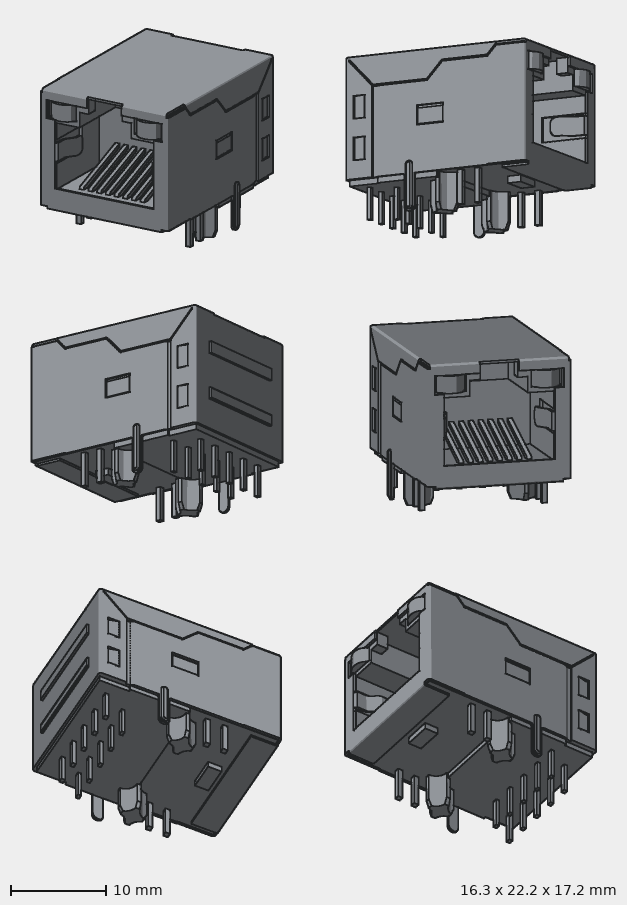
import cadquery as cq
import math


shield_width = 15.76
shield_length = 21.45
shield_height = 13.16
sheet = 0.27
bend_radius = 0.3
half_width = shield_width / 2
inner_half_width = half_width - sheet
inner_top = shield_height - sheet
inner_rear = shield_length - sheet

tuck_depth = sheet
cover_edge = 18.23
tuck_run = 1.09
tuck_start = cover_edge - tuck_run
tuck_middle = cover_edge - tuck_run / 2
tucked_half_width = half_width - tuck_depth
rear_inner_half_width = inner_half_width - tuck_depth

port_half_width = 6.08
port_floor = 2.25
lamp_window_half_width = 7.08
lamp_window_bottom = 9.92
lamp_window_top = 11.97
latch_half_width = 2.13

seam_width = 0.15
seam_low = 9.77
seam_mid = 11.65
seam_high = inner_top - seam_width
roof_step_length = 3.49
seam_path = [
    (20.98, 12.65),
    (18.18, seam_low),
    (11.68, seam_low),
    (9.88, seam_mid),
    (4.5, seam_mid),
    (roof_step_length, seam_high),
]

catch_start = 19.07
catch_end = 20.45
catch_height = 2.45
catch_bottoms = [2.02, 6.48]
catch_flat = 0.33
catch_rise = 0.25
catch_gap = 0.07
latch_window_start = 9.77
latch_window_end = 12.92
latch_window_bottom = 5.1
latch_window_top = 7.2
latch_gap = 0.09
latch_bevel = 0.3
latch_sink = 0.07

notch_half_width = 4.5
notch_length = 0.62
notch_radius = 0.3
bar_half_width = 5.4
bar_depth = 0.25
bar_height = 1.29
upper_bar_bottom = 8.37
lower_bar_bottom = 3.29
bar_bevel = 0.1

flange_half_width = 7.0
flange_length = 3.2
flange_drop = 0.25
spring_bottom = 5.28
spring_top = 7.33
spring_flat_x = 5.77
spring_bend_y = 1.6
spring_crest_x = 4.97
spring_crest_y = 2.66
spring_rear = 3.88
spring_thickness = 0.2
spring_bend_radius = 0.67
spring_end_radius = 0.67
pin_tip = -4.05
foot_relief_length = 4.48
foot_relief_height = 0.09
leg_y = 13.8
leg_width = 1.2
leg_tip_radius = 0.58
leg_root_radius = 0.18
bead_width = 0.8
bead_top = 1.33
bead_bottom = -3.82
bead_rise = 0.25
bead_bevel = 0.18

cavity_half_width = 6.0
cavity_top = 9.52
cavity_floor = 2.09
cavity_rear = 8.88
keyway_rear = 7.55
keyway_half_width = 3.17
keyway_lip_half_width = 2.06
keyway_lip_bottom = 11.23
keyway_lip_rear = 1.58
spring_pocket_depth = 0.33
spring_pocket_rear = 5.45
spring_pocket_margin = 0.3
base_front = 10.68
base_drop = 0.62
pad_half_width = 1.53
pad_front = 3.9
pad_length = 1.58
pad_drop = 0.73

lamp_x = 5.22
lamp_width = 3.3
lamp_bottom = 10.1
lamp_nose = 0.5
lamp_rear = 3.1
lead_x = 6.7
lead_size = 0.55
lead_tip = -3.69
lead_rows = [6.22, 8.25]

contact_count = 8
contact_pitch = 1.07
contact_width = 0.5
contact_tip_y = 1.6
contact_nose = 0.35
contact_thickness = 0.35
contact_rear_top = 5.0
pin_columns = 10
pin_pitch = 1.27
pin_width = 0.53
front_pin_y = 17.07
front_pin_length = 0.38
rear_pin_y = 19.62
rear_pin_length = 0.42
peg_x = 5.68
peg_y = 10.75
peg_diameter = 3.17
peg_rib = 0.45
peg_taper_height = 0.78
peg_taper = 0.3


def block(x0, x1, y0, y1, z0, z1):
    """Box between two opposite corners."""
    return cq.Workplane("XY").box(x1 - x0, y1 - y0, z1 - z0, centered=False).translate((x0, y0, z0))


def centred_block(half_x, y0, y1, z0, z1):
    """Box that is symmetric about the mid plane."""
    return block(-half_x, half_x, y0, y1, z0, z1)


def both_sides(body):
    """The body on the +X side together with its mirror image."""
    return body.union(body.mirror("YZ"))


def wall_cutter(profile):
    """Cutter with a (y, z) profile that runs through both side walls."""
    return cq.Workplane("YZ").polyline(profile).close().extrude(shield_width, both=True)


def interior(bottom):
    """Space inside the shield, narrower where the side walls are doubled."""
    front = centred_block(inner_half_width, sheet, tuck_middle, bottom, inner_top)
    rear = centred_block(rear_inner_half_width, tuck_middle, inner_rear, bottom, inner_top)
    return front.union(rear)


def tuck_groove():
    """Groove in the +X wall, below the seam, where the side wall bends in under the rear cover."""
    half_run = tuck_run / 2
    half_step = tuck_depth / 2
    radius = (half_run**2 + half_step**2) / (2 * half_step)
    sag = radius - math.sqrt(radius**2 - (half_run / 2) ** 2)
    return (
        cq.Workplane("XY")
        .moveTo(half_width, tuck_start)
        .threePointArc(
            (half_width - sag, tuck_start + half_run / 2),
            (half_width - half_step, tuck_middle),
        )
        .threePointArc(
            (tucked_half_width + sag, cover_edge - half_run / 2),
            (tucked_half_width, cover_edge),
        )
        .lineTo(half_width, cover_edge)
        .close()
        .extrude(seam_low)
    )


def seam():
    """Narrow slot that separates the roof flap from each side wall."""
    upper_edge = [(y, z + seam_width) for y, z in reversed(seam_path)]
    slot = wall_cutter(seam_path + upper_edge)
    return slot.cut(centred_block(inner_half_width, 0, shield_length, 0, shield_height))


def roof_edge_step():
    """Corner removed above the +X wall at the front, where the roof edge is not bent down."""
    return block(inner_half_width, half_width, 0, roof_step_length, seam_high, shield_height)


def front_opening():
    """Port, lamp windows and latch slot in the front wall."""
    port = centred_block(port_half_width, 0, sheet, port_floor, lamp_window_top)
    lamps = centred_block(lamp_window_half_width, 0, sheet, lamp_window_bottom, lamp_window_top)
    latch = centred_block(latch_half_width, 0, sheet, port_floor, shield_height)
    return port.union(lamps).union(latch)


def roof_notch():
    """Round-cornered notch in the rear edge of the roof."""
    notch = centred_block(
        notch_half_width, shield_length - notch_length, shield_length, inner_top, shield_height
    )
    return notch.edges("|Z and <Y").fillet(notch_radius)


def rear_bars():
    """Two raised bars on the rear wall, the lower one bevelled."""
    rear_face = shield_length + bar_depth
    upper = centred_block(
        bar_half_width, inner_rear, rear_face, upper_bar_bottom, upper_bar_bottom + bar_height
    )
    lower = centred_block(
        bar_half_width, inner_rear, rear_face, lower_bar_bottom, lower_bar_bottom + bar_height
    )
    lower = lower.faces(">Y").edges("|X").chamfer(bar_bevel)
    return upper.union(lower)


def ground_leg():
    """Solder leg on the +X wall with a raised stiffening bead."""
    half_leg = leg_width / 2
    leg = block(
        inner_half_width, half_width, leg_y - half_leg, leg_y + half_leg, pin_tip, bead_top
    )
    leg = leg.edges("|X and <Z").fillet(leg_tip_radius)
    roots = block(
        inner_half_width,
        half_width,
        leg_y - half_leg - leg_root_radius,
        leg_y + half_leg + leg_root_radius,
        -leg_root_radius,
        0,
    )
    for side in (-1, 1):
        root_edge = leg_y + side * (half_leg + leg_root_radius)
        round_cut = (
            cq.Workplane("YZ", origin=(inner_half_width, root_edge, -leg_root_radius))
            .circle(leg_root_radius)
            .extrude(sheet)
        )
        roots = roots.cut(round_cut)
    bead = (
        cq.Workplane("YZ", origin=(half_width, leg_y, (bead_top + bead_bottom) / 2))
        .slot2D(bead_top - bead_bottom, bead_width, 90)
        .extrude(bead_rise)
        .faces(">X")
        .chamfer(bead_bevel)
    )
    return leg.union(roots).union(bead)


def side_spring():
    """Contact spring that folds in from the front opening and bulges into the port."""
    fold_sag = (port_half_width - spring_flat_x) * (1 - math.sqrt(0.5))
    fold = (port_half_width - fold_sag, fold_sag)
    spring = (
        cq.Workplane("XY", origin=(0, 0, spring_bottom))
        .moveTo(port_half_width, 0)
        .threePointArc(fold, (spring_flat_x, sheet))
        .lineTo(spring_flat_x, spring_bend_y)
        .lineTo(spring_crest_x, spring_crest_y)
        .lineTo(spring_crest_x, spring_rear)
        .lineTo(spring_crest_x + spring_thickness, spring_rear)
        .lineTo(spring_crest_x + spring_thickness, spring_crest_y)
        .lineTo(spring_flat_x + spring_thickness, spring_bend_y)
        .lineTo(port_half_width, sheet)
        .close()
        .extrude(spring_top - spring_bottom)
    )
    bends = cq.selectors.BoxSelector(
        (0, spring_bend_y - spring_thickness, spring_bottom),
        (half_width, spring_crest_y + spring_thickness, spring_top),
    )
    spring = spring.edges(bends).edges("|Z").fillet(spring_bend_radius)
    spring = spring.faces(">Y").edges("|X").fillet(spring_end_radius)
    root = block(
        port_half_width, port_half_width + sheet, 0, sheet, spring_bottom, spring_top
    )
    return spring.union(root)


def front_flange():
    """Sheet folded under the housing at the front, with a rounded bend."""
    flange = centred_block(flange_half_width, 0, flange_length, -flange_drop, 0)
    wall_foot = centred_block(flange_half_width, 0, sheet, -flange_drop, sheet)
    return flange.union(wall_foot).edges("|X and <Y and <Z").fillet(flange_drop)


def catch_window(bottom):
    """Window in the rear cover on the +X side, with a catch behind it that slopes out to the front."""
    ramp_start = catch_start + catch_gap
    return (
        cq.Workplane("XY", origin=(0, 0, bottom))
        .moveTo(half_width, catch_start)
        .lineTo(tucked_half_width, catch_start)
        .lineTo(tucked_half_width, ramp_start)
        .lineTo(tucked_half_width + catch_rise, ramp_start)
        .lineTo(tucked_half_width, catch_end - catch_flat)
        .lineTo(tucked_half_width, catch_end)
        .lineTo(half_width, catch_end)
        .close()
        .extrude(catch_height)
    )


def make_shield():
    """Folded shield with its openings, springs, bars and ground legs."""
    shell = block(-half_width, half_width, 0, shield_length, 0, shield_height)
    shell = shell.edges("|Z or >Z").fillet(bend_radius)
    shell = shell.cut(interior(0))
    shell = shell.cut(both_sides(tuck_groove()))
    shell = shell.cut(seam()).cut(both_sides(roof_edge_step()))
    shell = shell.cut(front_opening()).cut(roof_notch())
    for bottom in catch_bottoms:
        shell = shell.cut(both_sides(catch_window(bottom)))
    shell = shell.cut(
        centred_block(
            half_width,
            latch_window_start,
            latch_window_end,
            latch_window_bottom,
            latch_window_top,
        )
    )
    shell = shell.cut(
        centred_block(half_width, 0, foot_relief_length, 0, foot_relief_height)
    )
    shell = shell.union(rear_bars()).union(front_flange())
    return shell.union(both_sides(ground_leg())).union(both_sides(side_spring()))


def port_cavity():
    """Plug space with its stepped latch keyway and a pocket for each side spring."""
    cavity = centred_block(cavity_half_width, sheet, cavity_rear, cavity_floor, cavity_top)
    keyway = centred_block(keyway_half_width, sheet, keyway_rear, cavity_top, keyway_lip_bottom)
    lip_gap = centred_block(keyway_lip_half_width, sheet, keyway_rear, cavity_top, inner_top)
    behind_lip = centred_block(
        keyway_half_width, keyway_lip_rear, keyway_rear, cavity_top, inner_top
    )
    pockets = centred_block(
        cavity_half_width + spring_pocket_depth,
        sheet,
        spring_pocket_rear,
        spring_bottom - spring_pocket_margin,
        spring_top + spring_pocket_margin,
    )
    return cavity.union(keyway).union(lip_gap).union(behind_lip).union(pockets)


def lamp_pocket():
    """Seat of the +X lamp, open to the front."""
    half_lamp = lamp_width / 2
    return block(
        lamp_x - half_lamp, lamp_x + half_lamp, sheet, lamp_rear, lamp_bottom, lamp_window_top
    )


def side_latch():
    """Bevelled block that fills the middle window of the +X wall."""
    latch = block(
        cavity_half_width + spring_pocket_depth,
        half_width - latch_sink,
        latch_window_start + latch_gap,
        latch_window_end - latch_gap,
        latch_window_bottom + latch_gap,
        latch_window_top,
    )
    depth = sheet - latch_sink
    return latch.edges(">X and >Z").chamfer(latch_bevel, depth)


def contacts():
    """Row of sloping spring contacts, from the rear wall down to the port floor."""
    row = cq.Workplane("XY")
    nose_end = contact_tip_y + contact_nose
    nose_top = cavity_floor + contact_nose
    for index in range(contact_count):
        x = (index - (contact_count - 1) / 2) * contact_pitch
        contact = (
            cq.Workplane("YZ", origin=(x - contact_width / 2, 0, 0))
            .moveTo(contact_tip_y, cavity_floor)
            .radiusArc((nose_end, nose_top), contact_nose)
            .lineTo(cavity_rear, contact_rear_top)
            .lineTo(cavity_rear, contact_rear_top - contact_thickness)
            .lineTo(nose_end + contact_thickness, cavity_floor)
            .close()
            .extrude(contact_width)
        )
        row = row.union(contact)
    return row


def signal_pins():
    """Solder pins in two staggered rows under the rear of the housing."""
    pins = cq.Workplane("XY")
    for column in range(pin_columns):
        x = (column - (pin_columns - 1) / 2) * pin_pitch
        in_rear_row = column % 2 == 0
        y = rear_pin_y if in_rear_row else front_pin_y
        half_length = (rear_pin_length if in_rear_row else front_pin_length) / 2
        half_pin = pin_width / 2
        pins = pins.union(
            block(x - half_pin, x + half_pin, y - half_length, y + half_length, pin_tip, 0)
        )
    return pins


def lamp_leads():
    """Square lamp leads under the +X side of the housing."""
    leads = cq.Workplane("XY")
    half_lead = lead_size / 2
    for y in lead_rows:
        leads = leads.union(
            block(lead_x - half_lead, lead_x + half_lead, y - half_lead, y + half_lead, lead_tip, 0)
        )
    return leads


def mounting_peg():
    """Tapered peg on the +X side, fluted so that a cross of four ribs remains."""
    radius = peg_diameter / 2
    flute_radius = radius - peg_rib / 2
    flute_centres = [(sx * radius, sy * radius) for sx in (-1, 1) for sy in (-1, 1)]
    peg = (
        cq.Workplane("XY", origin=(0, 0, pin_tip))
        .circle(radius)
        .extrude(-pin_tip)
        .faces("<Z")
        .chamfer(peg_taper_height, peg_taper)
    )
    flutes = (
        cq.Workplane("XY", origin=(0, 0, pin_tip))
        .pushPoints(flute_centres)
        .circle(flute_radius)
        .extrude(-pin_tip)
    )
    return peg.cut(flutes).translate((peg_x, peg_y, 0))


def make_housing():
    """Plastic housing that carries the contacts, pins, lamp leads and pegs."""
    body = interior(0)
    raised_base = interior(-base_drop).intersect(
        centred_block(half_width, base_front, shield_length, -base_drop, sheet)
    )
    pad = centred_block(pad_half_width, pad_front, pad_front + pad_length, -pad_drop, 0)
    body = body.union(raised_base).union(pad)
    body = body.cut(port_cavity()).cut(both_sides(lamp_pocket()))
    body = body.union(both_sides(side_latch()))
    body = body.union(both_sides(mounting_peg())).union(both_sides(lamp_leads()))
    return body.union(contacts()).union(signal_pins())


def make_lamp(x):
    """Indicator lamp with a half-round nose that stands out of the front."""
    radius = lamp_width / 2
    nose_centre = radius - lamp_nose
    return (
        cq.Workplane("XY", origin=(x, 0, lamp_bottom))
        .moveTo(-radius, nose_centre)
        .threePointArc((0, -lamp_nose), (radius, nose_centre))
        .lineTo(radius, lamp_rear)
        .lineTo(-radius, lamp_rear)
        .close()
        .extrude(lamp_window_top - lamp_bottom)
    )


shield = make_shield()
housing = make_housing()
lamps = [make_lamp(side * lamp_x) for side in (-1, 1)]

result = cq.Compound.makeCompound([shield.val(), housing.val(), *[lamp.val() for lamp in lamps]])